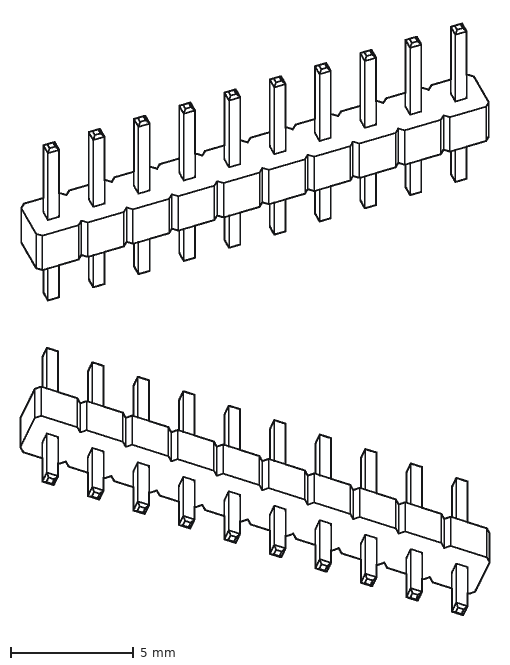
import cadquery as cq

pin_count = 10
pitch = 2.0

body_height = 2.0
corner_bevel = 0.2

pin_width = 0.5
pin_above_body = 4.0
pin_below_body = 2.8
pin_length = pin_above_body + body_height + pin_below_body
tip_chamfer = pin_width / 4


def make_block():
    """Body section around one pin, standing on Z = 0."""
    block = cq.Workplane("XY").box(pitch, pitch, body_height, centered=(True, True, False))
    return block.edges("|Z").chamfer(corner_bevel)


def make_pin():
    """Square pin that passes through the body, tapered at both ends."""
    pin = (
        cq.Workplane("XY")
        .workplane(offset=-pin_below_body)
        .box(pin_width, pin_width, pin_length, centered=(True, True, False))
    )
    return pin.faces("<Z or >Z").chamfer(tip_chamfer)


section = make_block().union(make_pin())
first_y = -(pin_count - 1) * pitch / 2

result = section.translate((0, first_y, 0))
for index in range(1, pin_count):
    result = result.union(section.translate((0, first_y + index * pitch, 0)))
result = result.clean()